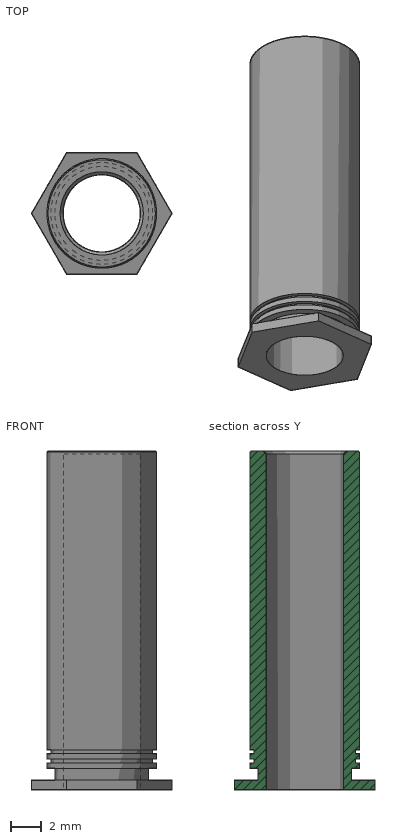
import cadquery as cq
import math

total_height = 22.0
hex_sides = 6
across_flats = 7.9
flange_thickness = 0.63

body_diameter = 7.12
neck_diameter = 6.1
groove_diameter = 6.61
neck_height = 0.77
ring_height = 0.35
groove_height = 0.25
groove_count = 2
rim_chamfer = 0.08

bore_diameter = 5.0
bore_chamfer = 0.2

neck_top = flange_thickness + neck_height


def cylinder(diameter, bottom, top):
    """Solid cylinder about the Z axis between two heights."""
    return cq.Workplane("XY").workplane(offset=bottom).circle(diameter / 2).extrude(top - bottom)


def hex_flange():
    """Hexagonal flange with corners on the X axis and flats facing +Y and -Y."""
    across_corners = across_flats / math.cos(math.pi / hex_sides)
    return cq.Workplane("XY").polygon(hex_sides, across_corners).extrude(flange_thickness)


def sleeve():
    """Round body with a chamfered top rim."""
    return cylinder(body_diameter, neck_top, total_height).faces(">Z").chamfer(rim_chamfer)


def groove(index):
    """Annular cutter for one groove, counted upward from the neck."""
    bottom = neck_top + ring_height + index * (ring_height + groove_height)
    top = bottom + groove_height
    return cylinder(body_diameter, bottom, top).cut(cylinder(groove_diameter, bottom, top))


def chamfered_bore():
    """Through bore cutter, widened by a chamfer at the top rim."""
    shaft = cylinder(bore_diameter, 0, total_height)
    rim_radius = bore_diameter / 2 + bore_chamfer
    countersink = cq.Workplane("XY").add(
        cq.Solid.makeCone(
            bore_diameter / 2,
            rim_radius,
            bore_chamfer,
            pnt=cq.Vector(0, 0, total_height - bore_chamfer),
        )
    )
    return shaft.union(countersink)


neck = cylinder(neck_diameter, flange_thickness, neck_top)
result = hex_flange().union(neck).union(sleeve())
for groove_index in range(groove_count):
    result = result.cut(groove(groove_index))
result = result.cut(chamfered_bore())